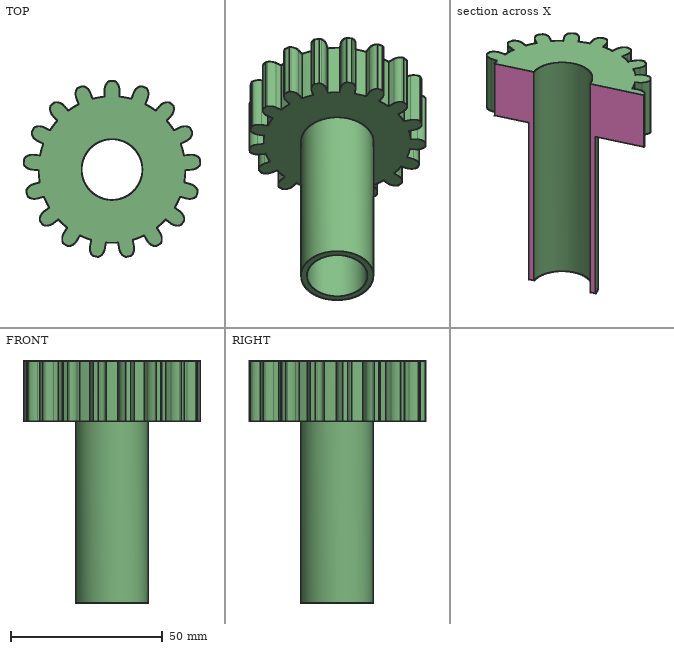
import cadquery as cq
import math

OVERALL_HEIGHT = 80.0
SHAFT_DIAMETER = 24.0
BORE_DIAMETER = 20.0

FACE_WIDTH = 20.0
TOOTH_COUNT = 17
ROOT_RADIUS = 24.25
TIP_HEIGHT = 29.25

TOOTH_HALF_THICKNESS = 2.5
FLANK_HEIGHT = 26.3
SHOULDER_HALF_THICKNESS = 1.35
SHOULDER_HEIGHT = 28.95
TIP_HALF_THICKNESS = 0.85

TOOTH_EMBED = 2.0

TOOTH_PITCH_ANGLE = 360.0 / TOOTH_COUNT
GEAR_BOTTOM = OVERALL_HEIGHT - FACE_WIDTH


def make_tooth():
    """One tooth on the +Y axis: parallel then rounded flanks, bevelled shoulders, flat tip."""
    embed_height = ROOT_RADIUS - TOOTH_EMBED
    half_profile = (
        cq.Workplane("XY")
        .workplane(offset=GEAR_BOTTOM)
        .moveTo(0, embed_height)
        .lineTo(TOOTH_HALF_THICKNESS, embed_height)
        .lineTo(TOOTH_HALF_THICKNESS, FLANK_HEIGHT)
        .tangentArcPoint((SHOULDER_HALF_THICKNESS, SHOULDER_HEIGHT), relative=False)
        .lineTo(TIP_HALF_THICKNESS, TIP_HEIGHT)
        .lineTo(0, TIP_HEIGHT)
    )
    return half_profile.mirrorY().extrude(FACE_WIDTH)


def make_gear():
    """Root cylinder with evenly spaced teeth."""
    gear = cq.Workplane("XY").workplane(offset=GEAR_BOTTOM).circle(ROOT_RADIUS).extrude(FACE_WIDTH)
    tooth = make_tooth()
    for index in range(TOOTH_COUNT):
        gear = gear.union(tooth.rotate((0, 0, 0), (0, 0, 1), index * TOOTH_PITCH_ANGLE))
    return gear


def make_shaft():
    """Round shaft that carries the gear at its upper end."""
    return cq.Workplane("XY").circle(SHAFT_DIAMETER / 2).extrude(OVERALL_HEIGHT)


def make_bore():
    """Bore through the full height."""
    return cq.Workplane("XY").circle(BORE_DIAMETER / 2).extrude(OVERALL_HEIGHT)


result = make_shaft().union(make_gear()).cut(make_bore())